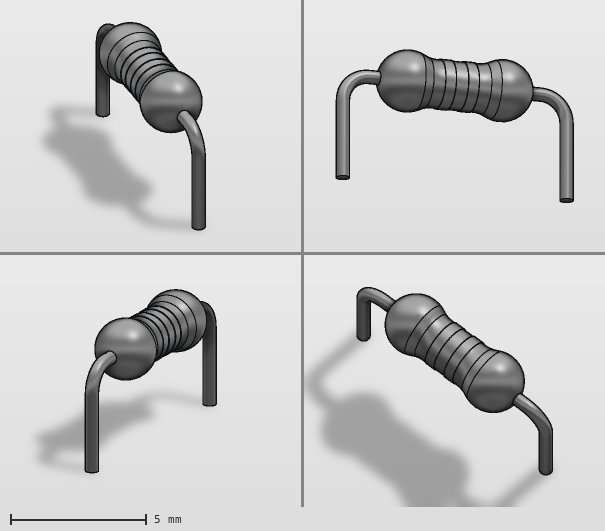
import cadquery as cq
import math


overall_length = 9.2
lead_diameter = 0.5
lead_bend_radius = 1.0
leg_length = 3.99
head_radius = 1.15
head_offset = 1.84
barrel_radius = 1.8 / 2
barrel_half_length = 0.79
barrel_band_radius = 1.86 / 2
band_seat_radius = 1.56 / 2
barrel_band_start = 0.24
barrel_band_end = 0.65
head_band_start = 1.12
head_band_end = 1.48

flare_run = head_offset - barrel_half_length
flare_radius = (flare_run**2 + barrel_radius**2 - head_radius**2) / (2 * (head_radius - barrel_radius))
flare_centre_height = barrel_radius + flare_radius
head_share = head_radius / (head_radius + flare_radius)
tangent_x = head_offset - head_share * flare_run
tangent_height = head_share * flare_centre_height


def outer_radius(x):
    """Radius of the flare or the head at x, on the +X side."""
    if x < tangent_x:
        return flare_centre_height - math.sqrt(flare_radius**2 - (x - barrel_half_length)**2)
    return math.sqrt(head_radius**2 - (x - head_offset)**2)


def revolve_about_x(profile):
    return profile.close().revolve(360, (0, 0, 0), (1, 0, 0))


def make_lead():
    """One wire that runs through the housing and bends down at both ends."""
    leg_x = (overall_length - lead_diameter) / 2
    bend_start_x = leg_x - lead_bend_radius
    bend_diagonal = lead_bend_radius * math.sqrt(0.5)
    bend_middle_x = bend_start_x + bend_diagonal
    bend_middle_z = bend_diagonal - lead_bend_radius
    path = (
        cq.Workplane("XZ")
        .moveTo(-leg_x, -leg_length)
        .lineTo(-leg_x, -lead_bend_radius)
        .threePointArc((-bend_middle_x, bend_middle_z), (-bend_start_x, 0))
        .lineTo(bend_start_x, 0)
        .threePointArc((bend_middle_x, bend_middle_z), (leg_x, -lead_bend_radius))
        .lineTo(leg_x, -leg_length)
    )
    section = cq.Workplane("XY", origin=(-leg_x, 0, -leg_length)).circle(lead_diameter / 2)
    return section.sweep(path)


def make_barrel_band():
    """Raised ring on the straight barrel, on the +X side."""
    return revolve_about_x(
        cq.Workplane("XZ")
        .moveTo(barrel_band_start, band_seat_radius)
        .lineTo(barrel_band_start, barrel_band_radius)
        .lineTo(barrel_band_end, barrel_band_radius)
        .lineTo(barrel_band_end, band_seat_radius)
    )


def make_head_band():
    """Flush ring that follows the flare and the head, on the +X side."""
    flare_middle_x = (head_band_start + tangent_x) / 2
    head_middle_x = (tangent_x + head_band_end) / 2

    def surface_point(x):
        return (x, outer_radius(x))

    return revolve_about_x(
        cq.Workplane("XZ")
        .moveTo(head_band_start, band_seat_radius)
        .lineTo(*surface_point(head_band_start))
        .threePointArc(surface_point(flare_middle_x), surface_point(tangent_x))
        .threePointArc(surface_point(head_middle_x), surface_point(head_band_end))
        .lineTo(head_band_end, band_seat_radius)
    )


def make_housing(fitted_bodies):
    """Barrel with a round head at each end, recessed for the lead and the bands."""
    head_end_x = head_offset + head_radius
    flare_middle_x = (barrel_half_length + tangent_x) / 2
    flare_middle = outer_radius(flare_middle_x)
    housing = revolve_about_x(
        cq.Workplane("XZ")
        .moveTo(-head_end_x, 0)
        .threePointArc((-head_offset, head_radius), (-tangent_x, tangent_height))
        .threePointArc((-flare_middle_x, flare_middle), (-barrel_half_length, barrel_radius))
        .lineTo(barrel_half_length, barrel_radius)
        .threePointArc((flare_middle_x, flare_middle), (tangent_x, tangent_height))
        .threePointArc((head_offset, head_radius), (head_end_x, 0))
    )
    for body in fitted_bodies:
        housing = housing.cut(body)
    return housing


lead = make_lead()
bands = []
for band in (make_barrel_band(), make_head_band()):
    bands.append(band)
    bands.append(band.mirror("YZ"))
housing = make_housing([lead, *bands])

result = cq.Compound.makeCompound([housing.val(), lead.val(), *[band.val() for band in bands]])